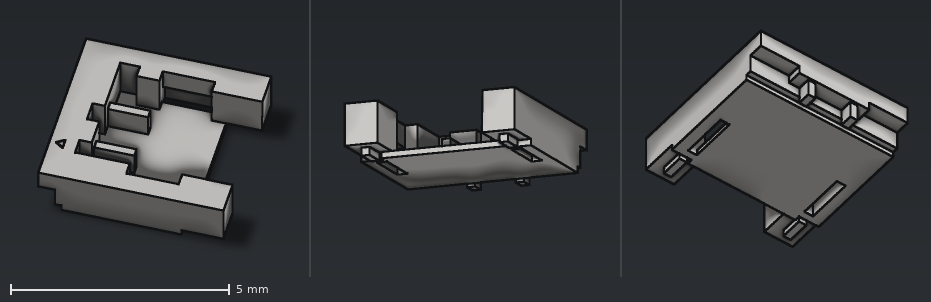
import cadquery as cq

length = 4.4
width = 4.2
half_width = width / 2

overhang_z = -0.49
center_overhang_z = -0.715
undercut_z = -0.535
contact_top_z = -0.395
body_bottom_z = -1.0
base_bottom_z = -1.15
foot_z = -1.19

overhang_depth = 0.395
center_overhang_half_width = 1.0
base_start_x = 0.55
base_end_x = 3.4
floor_end_x = 3.54
floor_half_width = 1.54

opening_x = 0.95
relief_x = 0.66
opening_half_width = 1.29
opening_draft = 0.018
center_relief_half_width = 0.245
corner_relief_y = -0.9
corner_pocket_end_x = 1.412

window_x = (1.96, 3.2)
window_half_width = 1.595
undercut_half_width = 1.785

contact_pitch = 1.205
contact_width = 0.202
contact_end_x = 1.905
lead_start_x = 0.055
pad_x = (3.495, 4.09)
pad_inner_y = 1.605
pad_width = 0.205

mark_x = (0.16, 0.345)
mark_y = -1.1
mark_half_width = 0.12
mark_depth = 0.02


def block(x_range, y_range, z_range):
    """Box spanning the given coordinate ranges."""
    size = [high - low for low, high in (x_range, y_range, z_range)]
    corner = (x_range[0], y_range[0], z_range[0])
    return cq.Workplane("XY").box(*size, centered=False).translate(corner)


def make_housing():
    """Outer block with a stepped overhang at the back and a thin base."""
    full_y = (-half_width, half_width)
    center_y = (-center_overhang_half_width, center_overhang_half_width)
    housing = block((0, length), full_y, (body_bottom_z, 0))
    housing = housing.cut(block((0, overhang_depth), full_y, (body_bottom_z, overhang_z)))
    housing = housing.union(block((0, overhang_depth), center_y, (center_overhang_z, overhang_z)))
    return housing.union(block((base_start_x, base_end_x), full_y, (base_bottom_z, body_bottom_z)))


def make_opening():
    """Opening between the arms, including the reliefs in its walls."""
    depth = (body_bottom_z, 0)
    center_y = (-center_relief_half_width, center_relief_half_width)
    profile = [
        (-opening_half_width, body_bottom_z),
        (opening_half_width, body_bottom_z),
        (opening_half_width + opening_draft, 0),
        (-opening_half_width, 0),
    ]
    opening = cq.Workplane("YZ", origin=(opening_x, 0, 0)).polyline(profile).close()
    opening = opening.extrude(length - opening_x)
    opening = opening.union(block((relief_x, opening_x), center_y, depth))
    opening = opening.union(block((relief_x, opening_x), (-opening_half_width, corner_relief_y), depth))
    return opening.union(block((opening_x, corner_pocket_end_x), (0, window_half_width), depth))


def make_window():
    """Latch window in the +Y arm, undercut and open through the base."""
    window = block(window_x, (0, window_half_width), (body_bottom_z, 0))
    undercut = block(window_x, (floor_half_width, undercut_half_width), (base_bottom_z, undercut_z))
    return window.union(undercut)


def make_contact(center_y):
    """Contact blade in the opening, joined through the wall to its lead."""
    y_range = (center_y - contact_width / 2, center_y + contact_width / 2)
    blade = block((overhang_depth, contact_end_x), y_range, (body_bottom_z, contact_top_z))
    lead = block((lead_start_x, overhang_depth), y_range, (foot_z, center_overhang_z))
    return blade.union(lead)


def make_pin_mark():
    """Triangle pointing toward the back wall's outer face."""
    tip_x, back_x = mark_x
    points = [
        (tip_x, mark_y),
        (back_x, mark_y - mark_half_width),
        (back_x, mark_y + mark_half_width),
    ]
    return cq.Workplane("XY").polyline(points).close().extrude(-mark_depth)


window = make_window()
floor_tip = block(
    (base_end_x, floor_end_x),
    (-floor_half_width, floor_half_width),
    (base_bottom_z, body_bottom_z),
)
pad = block(pad_x, (pad_inner_y, pad_inner_y + pad_width), (foot_z, body_bottom_z))

result = make_housing().cut(make_opening()).union(floor_tip)
result = result.cut(window).cut(window.mirror("XZ")).cut(make_pin_mark())
result = result.union(pad).union(pad.mirror("XZ"))
for side in (-1, 1):
    result = result.union(make_contact(side * contact_pitch / 2))